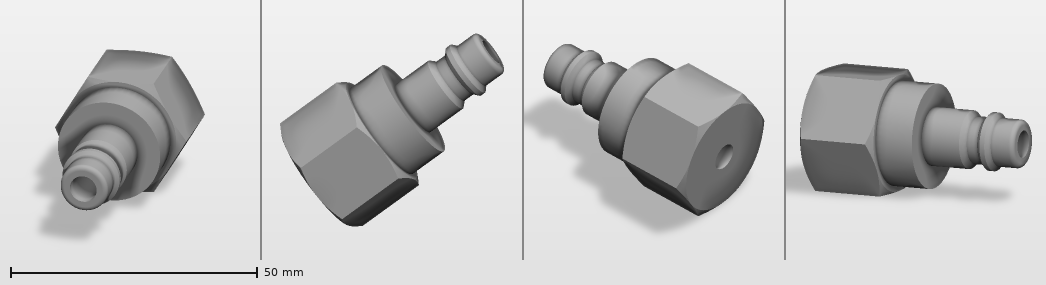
import cadquery as cq
import math

tip_end = 5.0
bead_start = 5.95
bead_end = 7.05
groove_start = 8.05
groove_end = 10.4
stem_start = 11.6
collar_start = 20.0
hex_start = 28.0
total_length = 44.5

hex_across_flats = 24.0
collar_radius = 10.75
stem_radius = 6.0
groove_radius = 4.9
tip_radius = 5.0
tip_rounding = 1.0
bore_radius = 2.8
hex_chamfer_angle = 30.0

hex_inner_radius = hex_across_flats / 2
hex_corner_radius = hex_inner_radius / math.cos(math.radians(30))
hex_chamfer_depth = (hex_corner_radius - hex_inner_radius) * math.tan(math.radians(hex_chamfer_angle))


def make_plug():
    """Collar, stem, groove, bead and rounded tip, revolved about the Y axis."""
    arc_middle = tip_rounding * math.sqrt(0.5)
    return (
        cq.Workplane("XY")
        .moveTo(0, 0)
        .lineTo(tip_radius - tip_rounding, 0)
        .threePointArc(
            (tip_radius - tip_rounding + arc_middle, tip_rounding - arc_middle),
            (tip_radius, tip_rounding),
        )
        .lineTo(tip_radius, tip_end)
        .lineTo(stem_radius, bead_start)
        .lineTo(stem_radius, bead_end)
        .lineTo(groove_radius, groove_start)
        .lineTo(groove_radius, groove_end)
        .lineTo(stem_radius, stem_start)
        .lineTo(stem_radius, collar_start)
        .lineTo(collar_radius, collar_start)
        .lineTo(collar_radius, hex_start)
        .lineTo(0, hex_start)
        .close()
        .revolve(360, (0, 0, 0), (0, 1, 0))
    )


def make_hex():
    """Hexagon with corners on the X axis, its corners chamfered at both ends."""
    prism = (
        cq.Workplane("XZ", origin=(0, hex_start, 0))
        .polygon(6, 2 * hex_corner_radius)
        .extrude(hex_start - total_length)
    )
    chamfer_envelope = (
        cq.Workplane("XY")
        .moveTo(0, hex_start)
        .lineTo(hex_inner_radius, hex_start)
        .lineTo(hex_corner_radius, hex_start + hex_chamfer_depth)
        .lineTo(hex_corner_radius, total_length - hex_chamfer_depth)
        .lineTo(hex_inner_radius, total_length)
        .lineTo(0, total_length)
        .close()
        .revolve(360, (0, 0, 0), (0, 1, 0))
    )
    return prism.intersect(chamfer_envelope)


bore = cq.Workplane("XZ").circle(bore_radius).extrude(-total_length)

result = make_plug().union(make_hex()).cut(bore)